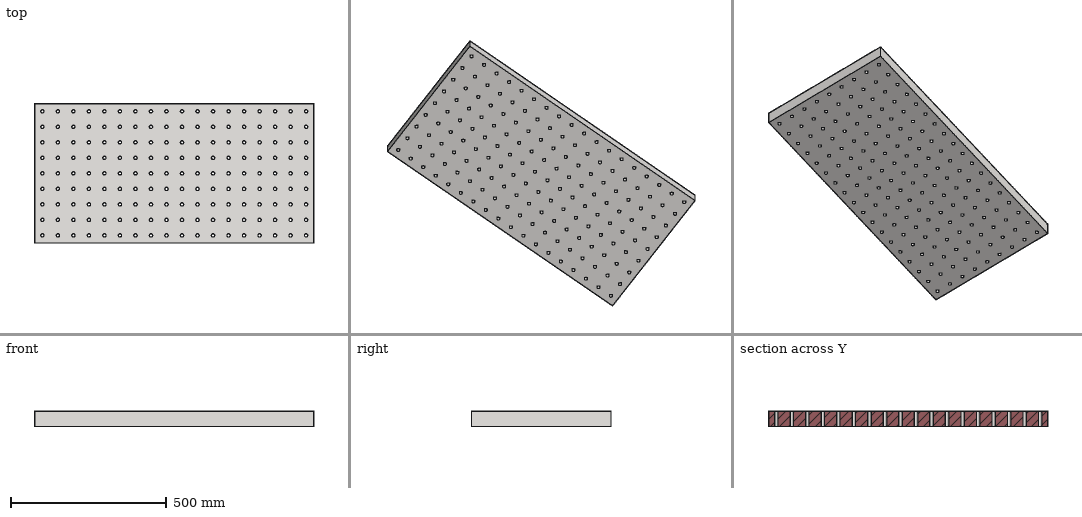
import cadquery as cq

plate_length = 900.0
plate_width = plate_length / 2
hole_columns = 18
hole_rows = 9
hole_diameter = 10.0

hole_pitch = plate_length / hole_columns
plate_thickness = hole_pitch


def make_plate():
    """Rectangular plate centred on the Z axis, resting on the XY plane."""
    return cq.Workplane("XY").box(
        plate_length, plate_width, plate_thickness, centered=(True, True, False)
    )


def drill_hole_grid(plate):
    """Drill the grid of through holes down from the top face."""
    return (
        plate.faces(">Z")
        .workplane()
        .rarray(hole_pitch, hole_pitch, hole_columns, hole_rows)
        .hole(hole_diameter)
    )


result = drill_hole_grid(make_plate())